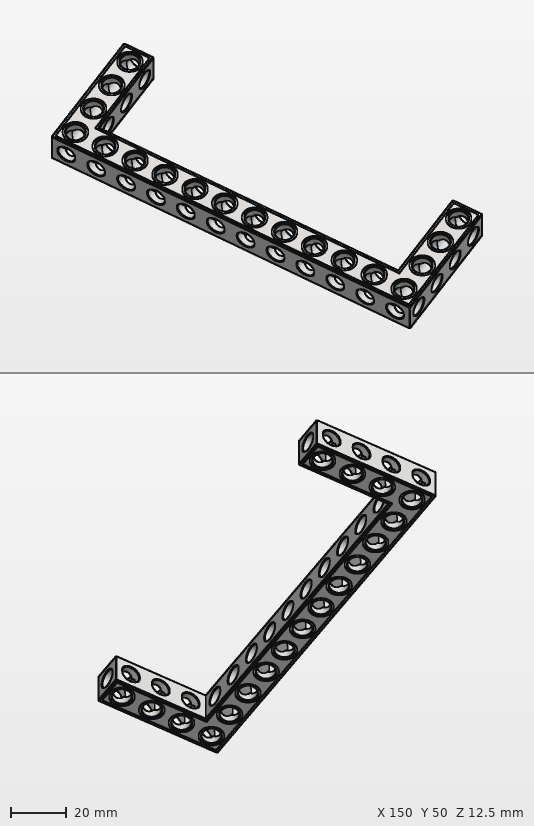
import cadquery as cq

unit = 12.5
span_units = 12
arm_units = 4
hole_diameter = 7.0
chamfer_size = 0.3
border_width = 1.1
collar_diameter = 9.2
recess_depth = 0.2

span = span_units * unit
arm_length = arm_units * unit
column_centers = [(i + 0.5) * unit for i in range(span_units)]
row_centers = [(i + 0.5) * unit for i in range(arm_units)]
mid_height = unit / 2
arm_columns = (column_centers[0], column_centers[-1])
beam_row = row_centers[0]
vertical_hole_points = [(x, beam_row) for x in column_centers]
vertical_hole_points += [(x, y) for x in arm_columns for y in row_centers[1:]]


def u_prism(inset, bottom, height):
    """Prism on the U outline, with every side moved inward by the inset."""
    left, right = inset, span - inset
    front, back = inset, arm_length - inset
    left_inner, right_inner = unit - inset, span - unit + inset
    outline = [
        (left, front),
        (right, front),
        (right, back),
        (right_inner, back),
        (right_inner, unit - inset),
        (left_inner, unit - inset),
        (left_inner, back),
        (left, back),
    ]
    return cq.Workplane("XY", origin=(0, 0, bottom)).polyline(outline).close().extrude(height)


def chamfered_frame():
    """U frame with every edge chamfered except the two inside corners."""
    margin = unit / 4
    inside_corners = cq.selectors.BoxSelector(
        (unit - margin, unit - margin, mid_height - margin),
        (span - unit + margin, unit + margin, mid_height + margin),
    )
    return u_prism(0, 0, unit).edges(cq.selectors.InverseSelector(inside_corners)).chamfer(chamfer_size)


def face_recess(bottom):
    """Recess inside the raised rim that leaves a collar around each vertical hole."""
    collars = (
        cq.Workplane("XY", origin=(0, 0, bottom))
        .pushPoints(vertical_hole_points)
        .circle(collar_diameter / 2)
        .extrude(recess_depth)
    )
    return u_prism(border_width, bottom, recess_depth).cut(collars)


def hole_cutter(start, direction, length):
    """Solids of a round cutter that flares at both ends to chamfer the mouths of a through hole."""
    axis = cq.Vector(*direction)
    entry = cq.Vector(*start)
    radius = hole_diameter / 2
    mouth_radius = radius + chamfer_size
    shaft = cq.Solid.makeCylinder(radius, length, entry, axis)
    entry_flare = cq.Solid.makeCone(mouth_radius, radius, chamfer_size, entry, axis)
    exit_flare = cq.Solid.makeCone(mouth_radius, radius, chamfer_size, entry + axis * length, -axis)
    return [shaft, entry_flare, exit_flare]


def hole_cutters():
    """Cutters for the holes along Z, Y and X."""
    cutters = []
    for x, y in vertical_hole_points:
        cutters += hole_cutter((x, y, 0), (0, 0, 1), unit)

    for x in column_centers:
        length = arm_length if x in arm_columns else unit
        cutters += hole_cutter((x, 0, mid_height), (0, 1, 0), length)

    cutters += hole_cutter((0, beam_row, mid_height), (1, 0, 0), span)
    for y in row_centers[1:]:
        for arm_start in (0, span - unit):
            cutters += hole_cutter((arm_start, y, mid_height), (1, 0, 0), unit)
    return cutters


recesses = [face_recess(bottom).val() for bottom in (0, unit - recess_depth)]
frame = chamfered_frame().val().cut(*recesses, *hole_cutters())

result = cq.Workplane(frame.Solids()[0])